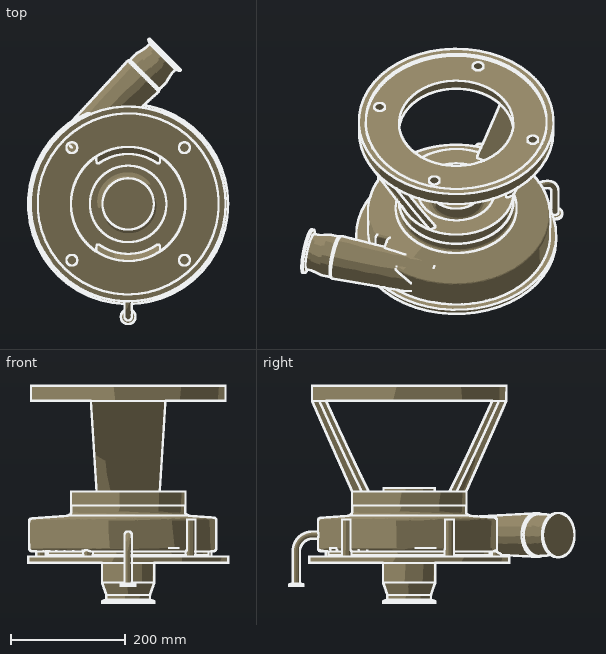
import cadquery as cq
import math


PLATE_DIAMETER = 349.5
PLATE_RADIUS = PLATE_DIAMETER / 2
PLATE_THICKNESS = 11.0
FOOT_COUNT = 5
FOOT_CIRCLE_RADIUS = 154.0
FOOT_RADIUS = 8.5
FOOT_TOP = 76.0
FIRST_FOOT_ANGLE = -45

COVER_RADIUS = 140.5
COVER_STEP_RADIUS = 134.5
COVER_STEP_TOP = 13.5

CASING_BOTTOM = 20
CASING_RIM = 77.5
CASING_PEAK = 90
CASING_ROUND = 5.5
CASING_RADIUS = 154.0
VOLUTE_RADIUS = 173.5
VOLUTE_START = 101
VOLUTE_JOIN = 174
VOLUTE_FRONT = 159.0
VOLUTE_END = 315
TONGUE_ANGLE = 85
TONGUE_ROOT_RADIUS = 139.5
TONGUE_ROOT_ANGLE = 91

HUB_RADIUS = 99.5
HUB_ROUND = 6.0
HUB_BASE = 83.0
HUB_TOP = 124.5
COLLAR_RADIUS = 100.0
COLLAR_HEIGHT = 24.5
BORE_RADIUS = 67.0
BORE_FLOOR = 102.5
SHAFT_RADIUS = 45
SHAFT_TOP = 130.5
SHAFT_ROUND = 10

FLANGE_RADIUS = 170.0
FLANGE_TOP = 309
FLANGE_THICKNESS = 26.5
FLANGE_BOTTOM = FLANGE_TOP - FLANGE_THICKNESS
FLANGE_HOLE_RADIUS = 99.5
RECESS_RADIUS = 158.0
RECESS_DEPTH = 5
BOLT_SPACING = 196.5
BOLT_DIAMETER = 19.0

LEG_THICKNESS = 12.5
LEG_HALF_WIDTH_BOTTOM = 55.5
LEG_HALF_WIDTH_TOP = 65.5
LEG_ROUND = 3.0

INLET_RADIUS = 46.0
INLET_LENGTH = 34.5
INLET_NECK_RADIUS = 38.5
INLET_TAPER_LENGTH = 21.5
INLET_NECK_LENGTH = 8.5
INLET_RIM_RADIUS = INLET_RADIUS

MID_HEIGHT = 48.5
OUTLET_DIRECTION = 45
OUTLET_OFFSET = 139.0
OUTLET_START_RADIUS = 31.5
OUTLET_END_RADIUS = 38.5
OUTLET_LENGTH = 176.5
OUTLET_BEVEL = 3.5
SPIGOT_RADIUS = 36.5
SPIGOT_LENGTH = 20
OUTLET_NECK_RADIUS = 32.0
OUTLET_TAPER_LENGTH = 19.5
OUTLET_NECK_LENGTH = 8.5
OUTLET_RIM_RADIUS = 39.0

RIM_BEVEL = 3.0
RIM_THICKNESS = 3.0

DRAIN_RADIUS = 6.5
DRAIN_ROOT = 149.5
DRAIN_REACH = 197.0
DRAIN_BEND_RADIUS = 28.5
DRAIN_BOTTOM = -41.0
DRAIN_RIM_RADIUS = 13.0
DRAIN_RIM_BEVEL = 2.0
DRAIN_RIM_THICKNESS = 3.0


def cylinder(radius, bottom, top):
    return cq.Workplane("XY").workplane(offset=bottom).circle(radius).extrude(top - bottom)


def turned(points):
    """Revolve a closed (radius, height) outline about Z."""
    return cq.Workplane("XZ").polyline(points).close().revolve(360, (0, 0), (0, 1))


def clamp_end(neck_radius, rim_radius, start, neck_length):
    """Outline points of a pipe neck that ends in a bevelled clamp rim."""
    neck_end = start + neck_length
    bevel_end = neck_end + RIM_BEVEL
    end = bevel_end + RIM_THICKNESS
    neck = [(neck_radius, start), (neck_radius, neck_end)]
    rim = [(rim_radius, bevel_end), (rim_radius, end), (0, end)]
    return neck + rim


def at_angle(radius, angle):
    """Point at a radius and an angle in degrees from +X, about the shaft axis."""
    return (radius * math.cos(math.radians(angle)), radius * math.sin(math.radians(angle)))


def flared_post(radius, flare, foot, top):
    """Post rising from the casing bottom, with a concave flare above its foot height."""
    bend = flare * (1 - math.sqrt(0.5))
    return (
        cq.Workplane("XZ")
        .moveTo(0, CASING_BOTTOM)
        .lineTo(radius + flare, CASING_BOTTOM)
        .lineTo(radius + flare, foot)
        .threePointArc((radius + bend, foot + bend), (radius, foot + flare))
        .lineTo(radius, top)
        .lineTo(0, top)
        .close()
        .revolve(360, (0, 0), (0, 1))
    )


def make_base():
    """Base plate, stepped cover and a ring of feet, one of which stands clear of the casing."""
    plate = cylinder(PLATE_RADIUS, 0, PLATE_THICKNESS)
    step = cylinder(COVER_STEP_RADIUS, PLATE_THICKNESS, COVER_STEP_TOP)
    cover = cylinder(COVER_RADIUS, COVER_STEP_TOP, CASING_BOTTOM)
    feet = (
        cq.Workplane("XY")
        .polarArray(FOOT_CIRCLE_RADIUS, FIRST_FOOT_ANGLE, 360, FOOT_COUNT)
        .circle(FOOT_RADIUS)
        .extrude(FOOT_TOP)
    )
    return plate.union(step).union(cover).union(feet)


def make_casing():
    """Spiral body with a sloping top and rounded rims; its radius shrinks away from the outlet."""
    body = (
        cq.Workplane("XY")
        .workplane(offset=CASING_BOTTOM)
        .moveTo(*at_angle(CASING_RADIUS, VOLUTE_END))
        .threePointArc((CASING_RADIUS, 0), at_angle(CASING_RADIUS, TONGUE_ANGLE))
        .lineTo(*at_angle(TONGUE_ROOT_RADIUS, TONGUE_ROOT_ANGLE))
        .lineTo(*at_angle(VOLUTE_RADIUS, VOLUTE_START))
        .threePointArc(at_angle(VOLUTE_RADIUS, OUTLET_DIRECTION + 90), at_angle(VOLUTE_RADIUS, VOLUTE_JOIN))
        .threePointArc((0, -VOLUTE_FRONT), at_angle(CASING_RADIUS, VOLUTE_END))
        .close()
        .extrude(CASING_PEAK - CASING_BOTTOM)
    )
    slope = (CASING_PEAK - CASING_RIM) / VOLUTE_RADIUS
    envelope = turned([
        (0, CASING_BOTTOM),
        (PLATE_RADIUS, CASING_BOTTOM),
        (PLATE_RADIUS, CASING_PEAK - slope * PLATE_RADIUS),
        (0, CASING_PEAK),
    ])
    casing = body.intersect(envelope)
    casing = casing.faces("%CONE").edges("not %LINE").fillet(CASING_ROUND)
    return casing.faces("<Z").edges().fillet(CASING_ROUND)


def make_hub():
    """Bored hub with a collar, and the shaft standing in its bore."""
    body = flared_post(HUB_RADIUS, HUB_ROUND, HUB_BASE, HUB_TOP)
    collar = cylinder(COLLAR_RADIUS, HUB_TOP - COLLAR_HEIGHT, HUB_TOP)
    bore = cylinder(BORE_RADIUS, BORE_FLOOR, HUB_TOP)
    shaft = flared_post(SHAFT_RADIUS, SHAFT_ROUND, BORE_FLOOR, SHAFT_TOP)
    return body.union(collar).cut(bore).union(shaft)


def make_flange():
    """Ring with a shallow recess in its top face and four bolt holes."""
    return (
        cylinder(FLANGE_RADIUS, FLANGE_BOTTOM, FLANGE_TOP)
        .cut(cylinder(RECESS_RADIUS, FLANGE_TOP - RECESS_DEPTH, FLANGE_TOP))
        .cut(cylinder(FLANGE_HOLE_RADIUS, FLANGE_BOTTOM, FLANGE_TOP))
        .faces("<Z")
        .workplane(origin=(0, 0, 0))
        .rect(BOLT_SPACING, BOLT_SPACING, forConstruction=True)
        .vertices()
        .hole(BOLT_DIAMETER)
    )


def make_legs():
    """Two opposite strips of a conical shell, widening upward, with rounded inner corners."""
    shell = turned([
        (HUB_RADIUS - LEG_THICKNESS, HUB_TOP),
        (HUB_RADIUS, HUB_TOP),
        (FLANGE_RADIUS, FLANGE_BOTTOM),
        (FLANGE_RADIUS - LEG_THICKNESS, FLANGE_BOTTOM),
    ])
    strip = (
        cq.Workplane("XZ")
        .polyline([
            (-LEG_HALF_WIDTH_BOTTOM, HUB_TOP),
            (LEG_HALF_WIDTH_BOTTOM, HUB_TOP),
            (LEG_HALF_WIDTH_TOP, FLANGE_BOTTOM),
            (-LEG_HALF_WIDTH_TOP, FLANGE_BOTTOM),
        ])
        .close()
        .extrude(-FLANGE_RADIUS)
    )
    leg = shell.intersect(strip)
    leg = leg.edges("not(>Z or <Z)").edges("<Y").fillet(LEG_ROUND)
    return leg.union(leg.mirror("XZ"))


def make_inlet():
    """Pipe tapering to a clamp rim, turned upright and then flipped to point down."""
    taper_end = INLET_LENGTH + INLET_TAPER_LENGTH
    outline = [(0, 0), (INLET_RADIUS, 0), (INLET_RADIUS, INLET_LENGTH)]
    outline += clamp_end(INLET_NECK_RADIUS, INLET_RIM_RADIUS, taper_end, INLET_NECK_LENGTH)
    return turned(outline).rotate((0, 0, 0), (1, 0, 0), 180)


def make_outlet():
    """Widening pipe with a spigot, laid along +X and then swung to the outlet direction."""
    spigot_end = OUTLET_LENGTH + SPIGOT_LENGTH
    taper_end = spigot_end + OUTLET_TAPER_LENGTH
    outline = [
        (0, 0),
        (OUTLET_START_RADIUS, 0),
        (OUTLET_END_RADIUS, OUTLET_LENGTH),
        (SPIGOT_RADIUS, OUTLET_LENGTH + OUTLET_BEVEL),
        (SPIGOT_RADIUS, spigot_end),
    ]
    outline += clamp_end(OUTLET_NECK_RADIUS, OUTLET_RIM_RADIUS, taper_end, OUTLET_NECK_LENGTH)
    return (
        turned(outline)
        .rotate((0, 0, 0), (0, 1, 0), 90)
        .translate((0, OUTLET_OFFSET, MID_HEIGHT))
        .rotate((0, 0, 0), (0, 0, 1), OUTLET_DIRECTION)
    )


def make_drain():
    """Bent pipe leaving the casing toward -Y and turning down to a small rim."""
    r = DRAIN_BEND_RADIUS
    bend_start = DRAIN_REACH - r
    diagonal = r * math.sqrt(0.5)
    bend_middle = (-bend_start - diagonal, MID_HEIGHT - r + diagonal)
    path = (
        cq.Workplane("YZ")
        .moveTo(-DRAIN_ROOT, MID_HEIGHT)
        .lineTo(-bend_start, MID_HEIGHT)
        .threePointArc(bend_middle, (-DRAIN_REACH, MID_HEIGHT - r))
        .lineTo(-DRAIN_REACH, DRAIN_BOTTOM)
    )
    pipe = (
        cq.Workplane("XZ", origin=(0, -DRAIN_ROOT, MID_HEIGHT))
        .circle(DRAIN_RADIUS)
        .sweep(path)
    )
    rim_top = DRAIN_BOTTOM + DRAIN_RIM_THICKNESS
    rim = turned([
        (0, DRAIN_BOTTOM),
        (DRAIN_RIM_RADIUS, DRAIN_BOTTOM),
        (DRAIN_RIM_RADIUS, rim_top),
        (DRAIN_RADIUS, rim_top + DRAIN_RIM_BEVEL),
        (0, rim_top + DRAIN_RIM_BEVEL),
    ])
    return pipe.union(rim.translate((0, -DRAIN_REACH, 0)))


result = (
    make_base()
    .union(make_casing())
    .union(make_outlet())
    .union(make_hub())
    .union(make_legs())
    .union(make_flange())
    .union(make_inlet())
    .union(make_drain())
)